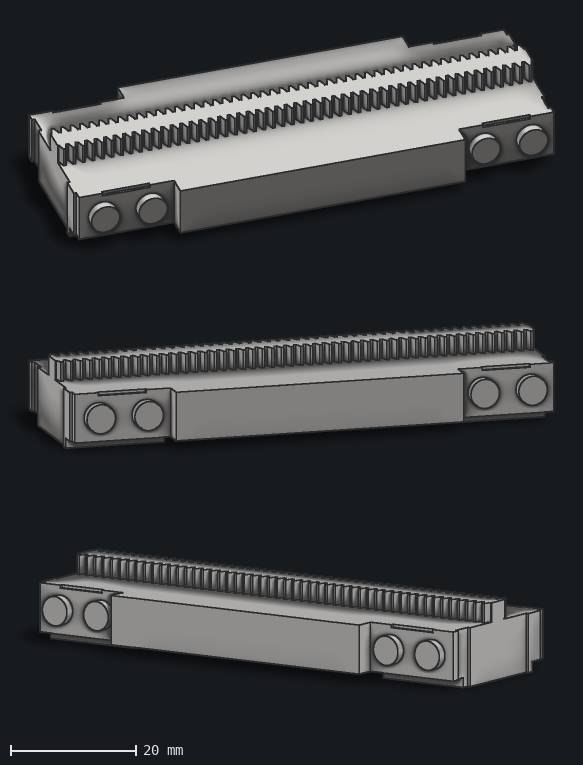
import cadquery as cq

overall_length = 80.8
overall_width = 32.0
tab_projection = 0.4
tab_width = 3.4
tab_inner_x = 7.9
notch_depth = 0.5

foot_height = 1.6
foot_width = 18.3
plate_height = 8.0
rack_height = 3.15

wing_length = 48.0
wing_projection = 3.2

stud_diameter = 4.8
stud_projection = 1.6
stud_pitch = 8.0
stud_inset = 3.95

rebate_size = 0.5

tooth_count = 50
rack_width = 6.2
tooth_depth = 1.3

plate_length = overall_length - 2 * tab_projection
plate_width = overall_width - 2 * wing_projection
half_length = plate_length / 2
half_width = plate_width / 2
plate_top = foot_height + plate_height
tab_x = tab_inner_x + tab_width / 2
stud_z = foot_height + plate_height / 2
outer_stud_y = half_length - stud_inset
inner_stud_y = outer_stud_y - stud_pitch
stud_pair_y = (outer_stud_y + inner_stud_y) / 2
tooth_pitch = plate_length / tooth_count
tooth_flat = tooth_pitch / 4


def block(size_x, size_y, size_z, x=0, y=0, z=0):
    """Box centred on x and y with its underside at z."""
    return cq.Workplane("XY").box(size_x, size_y, size_z, centered=(True, True, False)).translate((x, y, z))


def plate_with_wings_and_feet():
    """Plate with side wings in the middle and a narrower foot under each end."""
    plate = block(plate_width, plate_length, plate_height, z=foot_height)
    wings = block(overall_width, wing_length, plate_height, z=foot_height)
    body = plate.union(wings)
    foot_length = (plate_length - wing_length) / 2
    foot_y = (half_length + wing_length / 2) / 2
    for end in (-1, 1):
        body = body.union(block(foot_width, foot_length, foot_height, y=end * foot_y))
    return body


def add_tabs_and_notches(body):
    """One tab and one notch on each end face, following the stepped section of plate and foot."""
    foot_overlap = foot_width / 2 - tab_inner_x
    foot_tab_x = tab_inner_x + foot_overlap / 2
    for end in (-1, 1):
        tab_y = end * (half_length + tab_projection / 2)
        body = body.union(block(tab_width, tab_projection, plate_height, -end * tab_x, tab_y, foot_height))
        body = body.union(block(foot_overlap, tab_projection, foot_height, -end * foot_tab_x, tab_y))
        notch_y = end * (half_length - notch_depth / 2)
        body = body.cut(block(tab_width, notch_depth, plate_top, end * tab_x, notch_y))
    return body


def add_studs(body):
    """Two round studs on each side of each narrow end."""
    stud_positions = [(end * y, stud_z) for end in (-1, 1) for y in (outer_stud_y, inner_stud_y)]
    studs = (
        cq.Workplane("YZ")
        .pushPoints(stud_positions)
        .circle(stud_diameter / 2)
        .extrude(half_width + stud_projection, both=True)
    )
    return body.union(studs)


def cut_edge_rebates(body):
    """Shallow rebates in the top side edges, reaching from stud axis to stud axis."""
    for side in (-1, 1):
        for end in (-1, 1):
            rebate_x = side * (half_width - rebate_size / 2)
            rebate_z = plate_top - rebate_size
            body = body.cut(
                block(rebate_size, stud_pitch, rebate_size, rebate_x, end * stud_pair_y, rebate_z)
            )
    return body


def toothed_rack():
    """Bar along the centre line with trapezoidal teeth on both sides; each end falls in a root."""
    crest_x = rack_width / 2
    root_x = crest_x - tooth_depth
    half_crest = tooth_flat / 2
    half_base = (tooth_pitch - tooth_flat) / 2
    right_side = [(root_x, -half_length)]
    for index in range(tooth_count):
        tooth_y = (index + 0.5) * tooth_pitch - half_length
        right_side += [
            (root_x, tooth_y - half_base),
            (crest_x, tooth_y - half_crest),
            (crest_x, tooth_y + half_crest),
            (root_x, tooth_y + half_base),
        ]
    right_side.append((root_x, half_length))
    left_side = [(-x, y) for x, y in reversed(right_side)]
    outline = cq.Workplane("XY").polyline(right_side + left_side).close()
    return outline.extrude(rack_height).translate((0, 0, plate_top))


body = plate_with_wings_and_feet()
body = add_tabs_and_notches(body)
body = cut_edge_rebates(body)
body = add_studs(body)
result = body.union(toothed_rack())